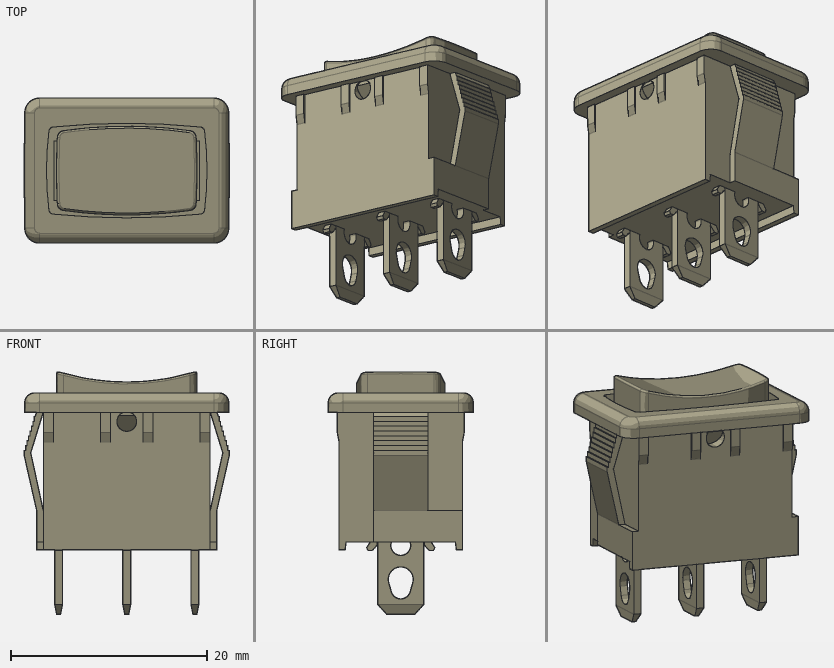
import cadquery as cq
import math


bezel_length = 20.8
bezel_width = 14.8
bezel_height = 1.98
bezel_corner_radius = 1.53
bezel_edge_radius = 1.01

well_half_length = 8.18
well_half_width = 4.82
well_end_bulge = 0.3
well_side_bulge = 0.42
well_corner_radius = 0.5
well_floor_z = 0.0
floor_slot_length = 14.83
floor_slot_width = 6.05
floor_slot_depth = 1.0

rocker_half_length = 7.17
rocker_half_width = 4.52
rocker_end_bulge = 0.12
rocker_side_bulge = 0.55
rocker_corner_radius = 0.75
rocker_edge_radius = 0.2
rocker_end_z = 4.2
rocker_middle_z = 3.1

housing_half_length = 8.5
housing_half_width = 6.3
housing_bottom_z = -13.22
foot_bottom_z = -14.0
foot_root_thickness = 0.75
foot_tip_thickness = 0.65

pad_width = 1.01
pad_thickness = 0.17
pad_straight_z = -2.05
pad_bottom_z = -3.01
inner_pad_x = 2.17
outer_pad_x = housing_half_length - pad_width / 2

pivot_diameter = 2.0
pivot_z = -0.95
pin_recess = 0.12
pin_bevel_top_z = -0.35

clip_width = 5.54
clip_thickness = 0.7
bracket_outer_x = housing_half_length + clip_thickness
bracket_top_z = -9.98
clip_span = 20.93
clip_peak_x = clip_span / 2
tooth_count = 8
tooth_pitch = 0.5
tooth_top_z = -0.42
tooth_step = 0.15
clip_peak_z = tooth_top_z - tooth_count * tooth_pitch

terminal_pitch = 6.95
terminal_thickness = 0.82
terminal_width = 4.72
terminal_bottom_z = -20.58
terminal_tip_height = 1.01
terminal_tip_width = 2.87
terminal_tip_thickness = 0.42
wire_hole_radius = 1.25
wire_hole_z = -17.03
wire_hole_end_radius = 1.0
wire_hole_end_z = -18.01
round_hole_diameter = 2.0
round_hole_z = -13.57
barb_inner_y = 2.37
barb_root_outer_y = 3.11
barb_root_drop = 0.3
barb_tip_inner_y = 2.92
barb_tip_outer_y = 3.34
barb_tip_drop = 0.86
barb_elbow_y = 3.48
barb_elbow_drop = 0.57


def box(x_range, y_range, z_range):
    """Axis-aligned box from three (low, high) pairs."""
    size = [high - low for low, high in (x_range, y_range, z_range)]
    low_corner = (x_range[0], y_range[0], z_range[0])
    return cq.Workplane("XY").box(*size, centered=False).translate(low_corner)


def barrel(half_length, half_width, end_bulge, side_bulge, corner_radius, bottom_z, top_z):
    """Upright prism whose four sides all bow outward."""
    corner_x = half_length - end_bulge
    corner_y = half_width - side_bulge
    return (
        cq.Workplane("XY", origin=(0, 0, bottom_z))
        .moveTo(-corner_x, -corner_y)
        .threePointArc((0, -half_width), (corner_x, -corner_y))
        .threePointArc((half_length, 0), (corner_x, corner_y))
        .threePointArc((0, half_width), (-corner_x, corner_y))
        .threePointArc((-half_length, 0), (-corner_x, -corner_y))
        .close()
        .extrude(top_z - bottom_z)
        .edges("|Z")
        .fillet(corner_radius)
    )


def both_ends(shape):
    """The shape together with its mirror image across the YZ plane."""
    return shape.union(shape.mirror("YZ"))


def make_bezel():
    return (
        cq.Workplane("XY")
        .rect(bezel_length, bezel_width)
        .extrude(bezel_height)
        .edges("|Z")
        .fillet(bezel_corner_radius)
        .faces(">Z")
        .edges()
        .fillet(bezel_edge_radius)
    )


def make_well():
    well = barrel(
        well_half_length, well_half_width, well_end_bulge, well_side_bulge,
        well_corner_radius, well_floor_z, bezel_height,
    )
    slot = (
        cq.Workplane("XY", origin=(0, 0, well_floor_z))
        .rect(floor_slot_length, floor_slot_width)
        .extrude(-floor_slot_depth)
    )
    return well.union(slot)


def make_rocker():
    """Barrel-shaped button with a top that is hollowed along X."""
    body = barrel(
        rocker_half_length, rocker_half_width, rocker_end_bulge, rocker_side_bulge,
        rocker_corner_radius, well_floor_z - floor_slot_depth, rocker_end_z,
    )
    dip = rocker_end_z - rocker_middle_z
    dish_radius = (rocker_half_length**2 + dip**2) / (2 * dip)
    dish = (
        cq.Workplane("XZ", origin=(0, 0, rocker_middle_z + dish_radius))
        .circle(dish_radius)
        .extrude(bezel_width / 2, both=True)
    )
    hollowed = body.cut(dish)
    dish_face = cq.selectors.NearestToPointSelector((0, 0, rocker_middle_z))
    return hollowed.faces(dish_face).edges().fillet(rocker_edge_radius)


def make_foot(half_length):
    """Rib along the bottom of the +Y wall, thinner at its tip."""
    inner_root_y = housing_half_width - foot_root_thickness
    inner_tip_y = housing_half_width - foot_tip_thickness
    return (
        cq.Workplane("YZ", origin=(-half_length, 0, 0))
        .moveTo(housing_half_width, housing_bottom_z)
        .lineTo(inner_root_y, housing_bottom_z)
        .lineTo(inner_tip_y, foot_bottom_z)
        .lineTo(housing_half_width, foot_bottom_z)
        .close()
        .extrude(2 * half_length)
    )


def make_pad(centre_x):
    """Pad on the +Y wall that slopes back into the wall at its lower end."""
    outer_y = housing_half_width + pad_thickness
    return (
        cq.Workplane("YZ", origin=(centre_x - pad_width / 2, 0, 0))
        .moveTo(housing_half_width, 0)
        .lineTo(outer_y, 0)
        .lineTo(outer_y, pad_straight_z)
        .lineTo(housing_half_width, pad_bottom_z)
        .close()
        .extrude(pad_width)
    )


def make_pivot_recess():
    """Space left in the +Y pivot hole in front of the pin's 45 degree bevel."""
    hole_bottom_z = pivot_z - pivot_diameter / 2
    flat_y = housing_half_width - pin_recess
    deepest_y = flat_y - (pin_bevel_top_z - hole_bottom_z)
    hole = (
        cq.Workplane("XZ", origin=(0, housing_half_width, pivot_z))
        .circle(pivot_diameter / 2)
        .extrude(housing_half_width - deepest_y)
    )
    in_front_of_pin = (
        cq.Workplane("YZ")
        .moveTo(housing_half_width, 0)
        .lineTo(flat_y, 0)
        .lineTo(flat_y, pin_bevel_top_z)
        .lineTo(deepest_y, hole_bottom_z)
        .lineTo(housing_half_width, hole_bottom_z)
        .close()
        .extrude(pivot_diameter, both=True)
    )
    return hole.intersect(in_front_of_pin)


def make_housing():
    body = box(
        (-housing_half_length, housing_half_length),
        (-housing_half_width, housing_half_width),
        (housing_bottom_z, 0),
    )
    foot = make_foot(housing_half_length)
    body = body.union(foot).union(foot.mirror("XZ"))
    for pad_x in (-outer_pad_x, -inner_pad_x, inner_pad_x, outer_pad_x):
        pad = make_pad(pad_x)
        body = body.union(pad).union(pad.mirror("XZ"))
    recess = make_pivot_recess()
    return body.cut(recess).cut(recess.mirror("XZ"))


def make_clips():
    """Bowed spring clips whose upper outer faces are stepped for grip."""
    first_tooth_x = clip_peak_x - (tooth_count - 1) * tooth_step
    outline = [(bracket_outer_x, 0), (first_tooth_x - tooth_step / 2, tooth_top_z)]
    for tooth in range(tooth_count):
        tooth_x = first_tooth_x + tooth * tooth_step
        tooth_z = tooth_top_z - tooth * tooth_pitch
        outline += [(tooth_x, tooth_z), (tooth_x, tooth_z - tooth_pitch)]
    outline += [
        (bracket_outer_x, bracket_top_z),
        (housing_half_length, bracket_top_z),
        (clip_peak_x - clip_thickness, clip_peak_z + tooth_pitch / 2),
        (housing_half_length, 0),
    ]
    clip = cq.Workplane("XZ").polyline(outline).close().extrude(clip_width / 2, both=True)
    return both_ends(clip)


def make_brackets():
    bracket = box(
        (housing_half_length, bracket_outer_x),
        (-clip_width / 2, housing_half_width),
        (housing_bottom_z, bracket_top_z),
    )
    return both_ends(bracket).union(make_foot(bracket_outer_x))


def make_barb():
    """Small bent tab at the +Y edge of a terminal."""
    outline = [
        (barb_inner_y, housing_bottom_z),
        (barb_inner_y, housing_bottom_z - barb_root_drop),
        (barb_tip_inner_y, housing_bottom_z - barb_tip_drop),
        (barb_tip_outer_y, housing_bottom_z - barb_tip_drop),
        (barb_elbow_y, housing_bottom_z - barb_elbow_drop),
        (barb_root_outer_y, housing_bottom_z),
    ]
    return (
        cq.Workplane("YZ")
        .polyline(outline)
        .close()
        .extrude(terminal_thickness / 2, both=True)
    )


def make_wire_hole():
    """Egg-shaped hole: two round ends joined by their common tangents."""
    slope = math.asin((wire_hole_radius - wire_hole_end_radius) / (wire_hole_z - wire_hole_end_z))
    big_y = wire_hole_radius * math.cos(slope)
    big_z = wire_hole_z - wire_hole_radius * math.sin(slope)
    small_y = wire_hole_end_radius * math.cos(slope)
    small_z = wire_hole_end_z - wire_hole_end_radius * math.sin(slope)
    return (
        cq.Workplane("YZ")
        .moveTo(-big_y, big_z)
        .threePointArc((0, wire_hole_z + wire_hole_radius), (big_y, big_z))
        .lineTo(small_y, small_z)
        .threePointArc((0, wire_hole_end_z - wire_hole_end_radius), (-small_y, small_z))
        .close()
        .extrude(terminal_thickness, both=True)
    )


def make_terminal():
    shoulder_z = terminal_bottom_z + terminal_tip_height
    blade = box(
        (-terminal_thickness / 2, terminal_thickness / 2),
        (-terminal_width / 2, terminal_width / 2),
        (shoulder_z, housing_bottom_z),
    )
    tip = (
        cq.Workplane("XY", origin=(0, 0, shoulder_z))
        .rect(terminal_thickness, terminal_width)
        .workplane(offset=-terminal_tip_height)
        .rect(terminal_tip_thickness, terminal_tip_width)
        .loft()
    )
    round_hole = (
        cq.Workplane("YZ", origin=(0, 0, round_hole_z))
        .circle(round_hole_diameter / 2)
        .extrude(terminal_thickness, both=True)
    )
    barb = make_barb()
    return (
        blade.union(tip)
        .union(barb)
        .union(barb.mirror("XZ"))
        .cut(round_hole)
        .cut(make_wire_hole())
    )


result = make_housing().union(make_bezel()).cut(make_well())
result = result.union(make_rocker()).union(make_brackets()).union(make_clips())
for terminal_x in (-terminal_pitch, 0, terminal_pitch):
    result = result.union(make_terminal().translate((terminal_x, 0, 0)))